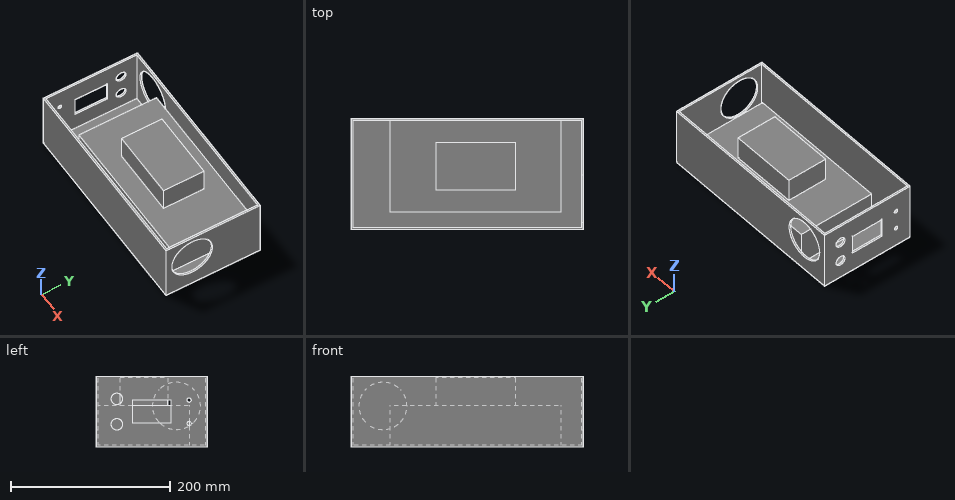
import cadquery as cq

CASE_LENGTH = 292.1
CASE_WIDTH = 139.7
CASE_HEIGHT = 88.9
WALL = 2.54

CUT_OVERRUN = WALL / 2
CUT_DEPTH = WALL + 2 * CUT_OVERRUN

WINDOW_WIDTH = 48.26
WINDOW_HEIGHT = 28.8
WINDOW_CENTER_Z = CASE_HEIGHT / 2
KNOB_HOLE_DIAMETER = 14.4
KNOB_Y = 43.9
KNOB_HEIGHTS = (28.6, 60.6)
LED_HOLE_DIAMETER = 5.08
LED_Y = -46.9
LED_HEIGHTS = (29.6, 59.1)

FAN_DIAMETER = 60.0
FAN_CENTER_Z = 51.7
END_FAN_FROM_SIDE = 38.8
SIDE_FAN_FROM_FRONT = 40.0

SUPPLY_LENGTH = 215.0
SUPPLY_WIDTH = 115.0
SUPPLY_HEIGHT = 50.0
SUPPLY_FROM_FRONT = 49.1

REGULATOR_LENGTH = 100.0
REGULATOR_WIDTH = 60.0
REGULATOR_HEIGHT = 35.0

FRONT_X = -CASE_LENGTH / 2
BACK_X = CASE_LENGTH / 2
NEAR_Y = -CASE_WIDTH / 2
FAR_Y = CASE_WIDTH / 2
END_FAN_Y = NEAR_Y + END_FAN_FROM_SIDE
SIDE_FAN_X = FRONT_X + SIDE_FAN_FROM_FRONT
SUPPLY_X = FRONT_X + SUPPLY_FROM_FRONT + SUPPLY_LENGTH / 2
SUPPLY_Y = FAR_Y - WALL - SUPPLY_WIDTH / 2


def block(length, width, height, x, y, base_z):
    """Rectangular block centred at (x, y) and standing on base_z."""
    return (
        cq.Workplane("XY", origin=(x, y, base_z))
        .box(length, width, height, centered=(True, True, False))
    )


def panel_holes(diameter, y, heights):
    """Round holes through the front panel, one above another."""
    return (
        cq.Workplane("YZ", origin=(FRONT_X - CUT_OVERRUN, 0, 0))
        .pushPoints([(y, z) for z in heights])
        .circle(diameter / 2)
        .extrude(CUT_DEPTH)
    )


def panel_window():
    """Rectangular display opening through the front panel."""
    return (
        cq.Workplane("YZ", origin=(FRONT_X - CUT_OVERRUN, 0, WINDOW_CENTER_Z))
        .rect(WINDOW_WIDTH, WINDOW_HEIGHT)
        .extrude(CUT_DEPTH)
    )


def end_fan_opening():
    """Fan opening through the +X wall."""
    return (
        cq.Workplane("YZ", origin=(BACK_X - WALL - CUT_OVERRUN, END_FAN_Y, FAN_CENTER_Z))
        .circle(FAN_DIAMETER / 2)
        .extrude(CUT_DEPTH)
    )


def side_fan_opening():
    """Fan opening through the +Y wall."""
    return (
        cq.Workplane("XZ", origin=(SIDE_FAN_X, FAR_Y + CUT_OVERRUN, FAN_CENTER_Z))
        .circle(FAN_DIAMETER / 2)
        .extrude(CUT_DEPTH)
    )


def make_case():
    """Thin-walled case with a floor, an open top and all wall openings."""
    shell = block(CASE_LENGTH, CASE_WIDTH, CASE_HEIGHT, 0, 0, 0)
    cavity = block(CASE_LENGTH - 2 * WALL, CASE_WIDTH - 2 * WALL, CASE_HEIGHT, 0, 0, WALL)
    return (
        shell.cut(cavity)
        .cut(panel_window())
        .cut(panel_holes(KNOB_HOLE_DIAMETER, KNOB_Y, KNOB_HEIGHTS))
        .cut(panel_holes(LED_HOLE_DIAMETER, LED_Y, LED_HEIGHTS))
        .cut(end_fan_opening())
        .cut(side_fan_opening())
    )


case = make_case()
power_supply = block(SUPPLY_LENGTH, SUPPLY_WIDTH, SUPPLY_HEIGHT, SUPPLY_X, SUPPLY_Y, WALL)
regulator = block(
    REGULATOR_LENGTH, REGULATOR_WIDTH, REGULATOR_HEIGHT, SUPPLY_X, SUPPLY_Y, WALL + SUPPLY_HEIGHT
)

result = cq.Compound.makeCompound([case.val(), power_supply.val(), regulator.val()])